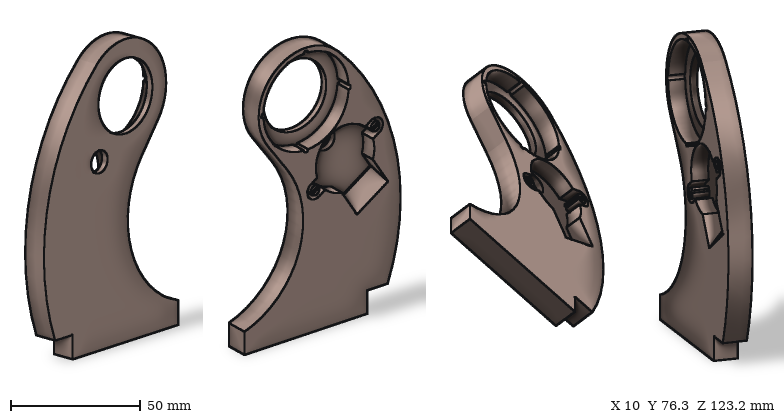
import cadquery as cq
import math

thickness = 10.0

foot_width = 60.0
foot_height = 10.0
heel_u = 70.0
outer_arc_radius = 100.0
inner_arc_radius = 41.3
inner_arc_v = 49.3

ring_centre = (30.0, 100.0)
ring_radius = 23.2
bore_diameter = 30.5
seat_radius = 20.8
seat_depth = 7.0
key_radius = 1.0
key_count = 4

motor_centre = (49.1, 70.0)
motor_tilt = 32.6
motor_radius = 14.3
motor_depth = 7.0
ear_offset = 17.5
ear_radius = 3.7
pin_radius = 2.15
pin_slit = 1.0
shaft_hole_diameter = 9.2
shaft_offset = 8.0
cable_width = 18.0
cable_floor_reach = 18.7
cable_reach = 24.9
ramp_step = 0.5

face = cq.Plane(origin=(0, 0, 0), xDir=(0, -1, 0), normal=(-1, 0, 0))


def polar(centre, radius, angle):
    return (centre[0] + radius * math.cos(angle), centre[1] + radius * math.sin(angle))


def direction(start, end):
    return math.atan2(end[1] - start[1], end[0] - start[0])


def outer_arc_centre():
    """Centre of the arc that passes through the heel and is tangent to the ring around it."""
    heel_to_ring = math.dist((heel_u, foot_height), ring_centre)
    ring_distance = outer_arc_radius - ring_radius
    cosine = (outer_arc_radius**2 + heel_to_ring**2 - ring_distance**2) / (
        2 * outer_arc_radius * heel_to_ring
    )
    angle = direction((heel_u, foot_height), ring_centre) + math.acos(cosine)
    return polar((heel_u, foot_height), outer_arc_radius, angle)


def make_plate():
    toe = (0, foot_height)
    heel = (heel_u, foot_height)

    outer_centre = outer_arc_centre()
    heel_angle = direction(outer_centre, heel)
    join_angle = direction(outer_centre, ring_centre)
    outer_middle = polar(outer_centre, outer_arc_radius, (heel_angle + join_angle) / 2)
    ring_start = polar(ring_centre, ring_radius, join_angle)

    inner_centre = (-math.sqrt(inner_arc_radius**2 - (inner_arc_v - foot_height) ** 2), inner_arc_v)
    centre_distance = math.dist(inner_centre, ring_centre)
    lean = math.acos((ring_radius + inner_arc_radius) / centre_distance)
    flank_angle = direction(inner_centre, ring_centre) - lean
    ring_end = polar(ring_centre, ring_radius, flank_angle + math.pi)
    ring_middle = polar(ring_centre, ring_radius, (join_angle + flank_angle + math.pi) / 2)
    inner_start = polar(inner_centre, inner_arc_radius, flank_angle)
    toe_angle = direction(inner_centre, toe)
    inner_middle = polar(inner_centre, inner_arc_radius, (flank_angle + toe_angle) / 2)

    return (
        cq.Workplane(face)
        .moveTo(0, 0)
        .lineTo(foot_width, 0)
        .lineTo(foot_width, foot_height)
        .lineTo(*heel)
        .threePointArc(outer_middle, ring_start)
        .threePointArc(ring_middle, ring_end)
        .lineTo(*inner_start)
        .threePointArc(inner_middle, toe)
        .close()
        .extrude(-thickness)
    )


def make_ring_cut():
    """Through bore, bearing seat and the round key grooves around the seat."""
    ring = cq.Workplane(face).center(*ring_centre)
    bore = ring.circle(bore_diameter / 2).extrude(-thickness)
    seat = ring.circle(seat_radius).extrude(-seat_depth)
    keys = ring.polarArray(seat_radius, 0, 360, key_count).circle(key_radius).extrude(-seat_depth)
    return bore.union(seat).union(keys)


def make_motor_cut():
    """Round pocket with two ears, split pins left standing, a shaft hole and a ramped cable exit."""
    motor = cq.Workplane(face).center(*motor_centre).transformed(rotate=(0, 0, motor_tilt))
    ears = [(-ear_offset, 0), (ear_offset, 0)]

    pocket = motor.circle(motor_radius).extrude(-motor_depth)
    ear_slot = motor.slot2D(2 * (ear_offset + ear_radius), 2 * ear_radius).extrude(-motor_depth)
    pins = motor.pushPoints(ears).circle(pin_radius).extrude(-motor_depth)
    slits = motor.pushPoints(ears).rect(2 * pin_radius, pin_slit).extrude(-motor_depth)
    shaft_hole = motor.center(0, shaft_offset).circle(shaft_hole_diameter / 2).extrude(-thickness)

    exit_profile = [
        (0, 0),
        (motor_depth, 0),
        (motor_depth, -cable_floor_reach),
        (motor_depth - ramp_step, -cable_floor_reach),
        (0, -cable_reach),
    ]
    cable_exit = (
        motor.transformed(rotate=(0, 90, 0))
        .polyline(exit_profile)
        .close()
        .extrude(cable_width / 2, both=True)
    )
    return pocket.union(ear_slot).cut(pins.cut(slits)).union(cable_exit).union(shaft_hole)


result = make_plate().cut(make_ring_cut()).cut(make_motor_cut())